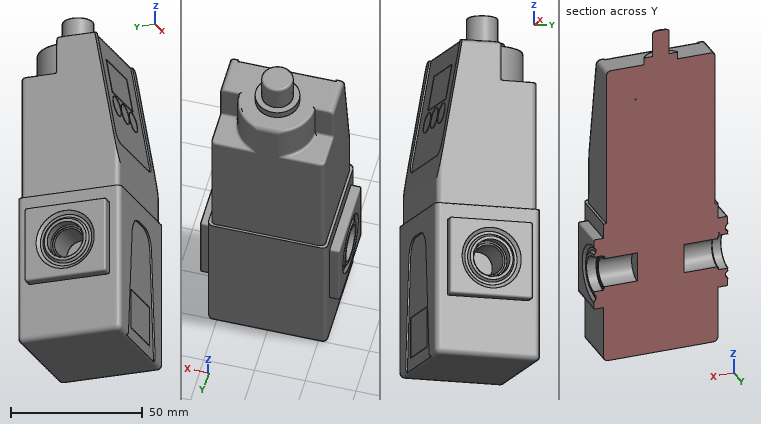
import cadquery as cq
import math

total_height = 137.5
port_span = 55.0
edge_radius = 2.0
small_radius = 1.0
recess_depth = 0.7
mark_depth = 0.1

base_width, base_depth, base_height = 47.0, 42.0, 59.0

housing_width, housing_depth, housing_top = 44.8, 40.0, 124.0
housing_front = -housing_depth / 2
housing_back = housing_depth / 2
slope_top_y = -10.0
slope_bottom_z = 68.9

connector_y = 5.0
shoulder_wall_y = 5.6
shoulder_z = 108.9
boss_radius = 15.0

collar_radius, collar_top = 8.5, 126.9
plug_radius = 6.0

panel_width, panel_bottom_z, panel_corner = 38.5, 79.0, 4.1
display_width, display_bottom_z, display_top_z = 22.4, 102.7, 116.3
button_radius, button_pitch, button_z = 4.05, 9.0, 97.5

taper_bottom_width, taper_top_width = 29.5, 20.0
taper_top_z, taper_corner = 51.3, 7.5
label_width, label_bottom_z, label_top_z = 20.4, 5.4, 21.0

flange_depth, flange_height, port_z = 33.0, 29.8, 38.0
flange_edge = 0.8
groove_outer, groove_step, groove_floor_outer = 11.8, 11.0, 10.5
groove_floor_inner, groove_inner = 9.4, 8.5
groove_step_depth, groove_depth = 0.5, 1.0
port_bores = [(7.3, 3.8), (6.6, 4.3), (5.9, 17.9)]

slope_angle = math.atan2(slope_top_y - housing_front, housing_top - slope_bottom_z)


def block(width, depth, bottom, top):
    """Box centred on X and Y between two heights."""
    return cq.Workplane("XY").workplane(offset=bottom).rect(width, depth).extrude(top - bottom)


def rod(radius, axis_y, bottom, top):
    """Vertical cylinder on the X centre of the part."""
    return cq.Workplane("XY").workplane(offset=bottom).center(0, axis_y).circle(radius).extrude(top - bottom)


def make_base():
    base = block(base_width, base_depth, 0, base_height)
    return base.edges("|Z").fillet(edge_radius).faces("<Z").edges().fillet(edge_radius)


def rounded_housing():
    """Full-height housing block, without the slope and the shoulders."""
    housing = block(housing_width, housing_depth, base_height, housing_top)
    return housing.edges("|Z").fillet(edge_radius).faces(">Z").edges().fillet(edge_radius)


def make_rear():
    """Shoulder-height rear part of the housing."""
    rear = block(housing_width, housing_depth, base_height, shoulder_z)
    rear = rear.edges("|Z").fillet(edge_radius).faces(">Z").edges().fillet(small_radius)
    front_space = block(housing_width, housing_depth, base_height, shoulder_z)
    return rear.cut(front_space.translate((0, shoulder_wall_y - small_radius - housing_depth / 2, 0)))


def make_front():
    """Full-height front part of the housing with the sloped face."""
    rear_space = block(housing_width, housing_depth, base_height, housing_top)
    rear_space = rear_space.translate((0, shoulder_wall_y + housing_depth / 2, 0))
    wedge = (
        cq.Workplane("YZ")
        .moveTo(slope_top_y, housing_top)
        .lineTo(housing_front, slope_bottom_z)
        .lineTo(housing_front, housing_top)
        .close()
        .extrude(housing_width / 2, both=True)
    )
    front = rounded_housing().cut(rear_space)
    front = front.faces(">Y").edges("not <Z").fillet(small_radius)
    return front.cut(wedge)


def make_boss():
    """Round boss on the shoulders, trimmed by the back of the housing."""
    boss = rounded_housing().intersect(rod(boss_radius, shoulder_wall_y, base_height, housing_top))
    return boss.faces(">Z").edges("%CIRCLE").fillet(small_radius)


def make_housing():
    """Housing with rounded inner corners where the shoulders meet the wall and the boss."""
    housing = make_front().union(make_rear()).union(make_boss())
    half_floor = housing_width / 2 - 2 * small_radius
    inner_floor_edges = cq.selectors.BoxSelector(
        (-half_floor, shoulder_wall_y - small_radius, shoulder_z - small_radius / 2),
        (half_floor, housing_back - 2 * small_radius, shoulder_z + small_radius / 2),
    )
    return housing.edges(inner_floor_edges).fillet(small_radius)


def make_connector():
    collar = rod(collar_radius, connector_y, housing_top - recess_depth, collar_top)
    plug = rod(plug_radius, connector_y, collar_top, total_height)
    return collar.union(plug.faces(">Z").edges().fillet(small_radius))


def slope_distance(z):
    """Distance along the sloped face from its lower edge to a given height."""
    return (z - slope_bottom_z) / math.cos(slope_angle)


def slope_plane(depth):
    """Workplane parallel to the sloped face at a depth below it, with its origin at the lower edge."""
    normal = (0, -math.cos(slope_angle), math.sin(slope_angle))
    origin = (0, housing_front, slope_bottom_z)
    return cq.Workplane(cq.Plane(origin, (1, 0, 0), normal)).workplane(offset=-depth)


def panel_outline(plane, width, bottom_z, top_z):
    """Rectangle on the sloped face, located by the heights of its lower and upper edges."""
    bottom = slope_distance(bottom_z)
    top = slope_distance(top_z)
    return plane.center(0, (bottom + top) / 2).rect(width, top - bottom)


def make_panel_recess():
    """Recess open at the top of the sloped face, with a slightly deeper display window."""
    panel = panel_outline(slope_plane(recess_depth), panel_width, panel_bottom_z, total_height)
    panel = panel.extrude(2 * recess_depth)
    panel = panel.faces("<Z").edges("not |X").fillet(panel_corner)
    window = panel_outline(slope_plane(recess_depth + mark_depth), display_width, display_bottom_z, display_top_z)
    return panel, window.extrude(mark_depth)


def make_buttons():
    plane = slope_plane(recess_depth).center(0, slope_distance(button_z))
    return plane.rarray(button_pitch, 1.4, 3, 1).circle(button_radius).extrude(mark_depth)


def make_taper_recess():
    """Tapered recess in the base front, running out at the bottom."""
    front = cq.Workplane("XZ", origin=(0, -base_depth / 2 + recess_depth, 0))
    recess = (
        front.moveTo(-taper_bottom_width / 2, 0)
        .lineTo(-taper_top_width / 2, taper_top_z)
        .lineTo(taper_top_width / 2, taper_top_z)
        .lineTo(taper_bottom_width / 2, 0)
        .close()
        .extrude(2 * recess_depth)
    )
    return recess.faces(">Z").edges("|Y").fillet(taper_corner)


def make_label():
    front = cq.Workplane("XZ", origin=(0, -base_depth / 2 + recess_depth, 0))
    plate = front.center(0, (label_bottom_z + label_top_z) / 2)
    return plate.rect(label_width, label_top_z - label_bottom_z).extrude(mark_depth)


def make_flanges():
    flange = cq.Workplane("XY").box(port_span, flange_depth, flange_height)
    return flange.edges().fillet(flange_edge).translate((0, 0, port_z))


def make_port():
    """Bore and sealing groove of the port on the -X side."""
    face = -port_span / 2
    port = (
        cq.Workplane("XY")
        .moveTo(face, groove_outer)
        .lineTo(face + groove_step_depth, groove_step)
        .lineTo(face + groove_depth, groove_floor_outer)
        .lineTo(face + groove_depth, groove_floor_inner)
        .lineTo(face, groove_inner)
        .close()
        .revolve(360, (0, 0, 0), (1, 0, 0))
    )
    for radius, depth in port_bores:
        port = port.union(cq.Workplane("YZ").workplane(offset=face).circle(radius).extrude(depth))
    return port.translate((0, 0, port_z))


panel_recess, display_window = make_panel_recess()
left_port = make_port()

result = make_base().union(make_housing()).union(make_flanges()).union(make_connector())
result = result.cut(panel_recess).cut(display_window).union(make_buttons())
result = result.cut(make_taper_recess()).union(make_label())
result = result.cut(left_port).cut(left_port.mirror("YZ"))